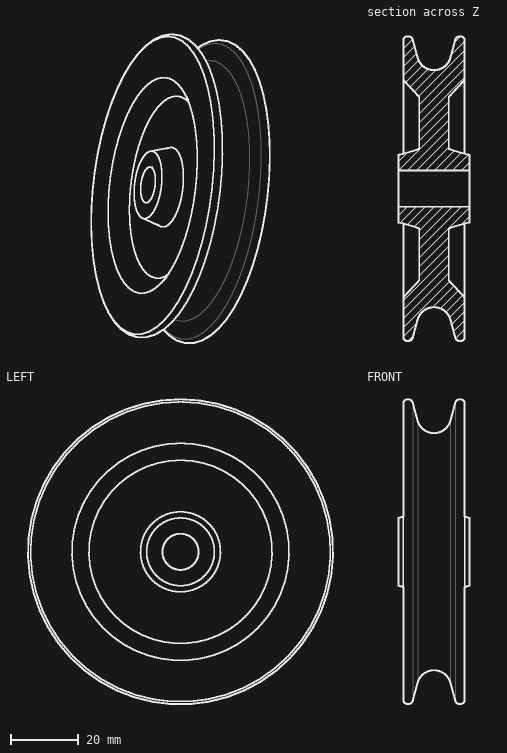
import cadquery as cq
import math

hub_width = 21.0
rim_width = 18.0
web_width = 8.7
outer_radius = 45.0

groove_depth = 10.0
groove_bottom_radius = 5.0
flank_angle = math.radians(15.0)
lip_radius = 1.5

recess_mouth_radius = 32.0
recess_floor_radius = 27.0
hub_base_radius = 11.8
hub_end_radius = 10.0
bore_radius = 5.3


def point_on_arc(center, radius, angle):
    """Point on a circle in the (axial, radial) plane, angle from the axial direction."""
    return (center[0] + radius * math.cos(angle), center[1] + radius * math.sin(angle))


def mirrored(point):
    """The matching point on the other side of the wheel's middle plane."""
    return (-point[0], point[1])


def wheel_section():
    """Closed section of the whole wheel on one side of the axis, as (axial, radial) points."""
    groove_bottom = (0, outer_radius - groove_depth)
    groove_center = (0, outer_radius - groove_depth + groove_bottom_radius)
    flank_start = point_on_arc(groove_center, groove_bottom_radius, -flank_angle)

    lip_center_radial = outer_radius - lip_radius
    flank_end_radial = lip_center_radial + lip_radius * math.sin(flank_angle)
    flank_end_axial = flank_start[0] + (flank_end_radial - flank_start[1]) * math.tan(flank_angle)
    flank_end = (flank_end_axial, flank_end_radial)
    lip_center_axial = flank_end_axial + lip_radius * math.cos(flank_angle)
    lip_top = (lip_center_axial, outer_radius)

    rim_face = rim_width / 2
    lip_end_angle = math.acos((rim_face - lip_center_axial) / lip_radius)
    lip_end = point_on_arc((lip_center_axial, lip_center_radial), lip_radius, lip_end_angle)

    side_points = [
        (rim_face, recess_mouth_radius),
        (web_width / 2, recess_floor_radius),
        (web_width / 2, hub_base_radius),
        (hub_width / 2, hub_end_radius),
        (hub_width / 2, bore_radius),
    ]
    other_side_points = [mirrored(point) for point in reversed(side_points)]

    return (
        cq.Workplane("XZ")
        .moveTo(*mirrored(flank_start))
        .threePointArc(groove_bottom, flank_start)
        .lineTo(*flank_end)
        .threePointArc(lip_top, lip_end)
        .polyline(side_points + other_side_points, includeCurrent=True)
        .lineTo(*mirrored(lip_end))
        .threePointArc(mirrored(lip_top), mirrored(flank_end))
        .close()
    )


result = wheel_section().revolve(360, (0, 0, 0), (1, 0, 0))